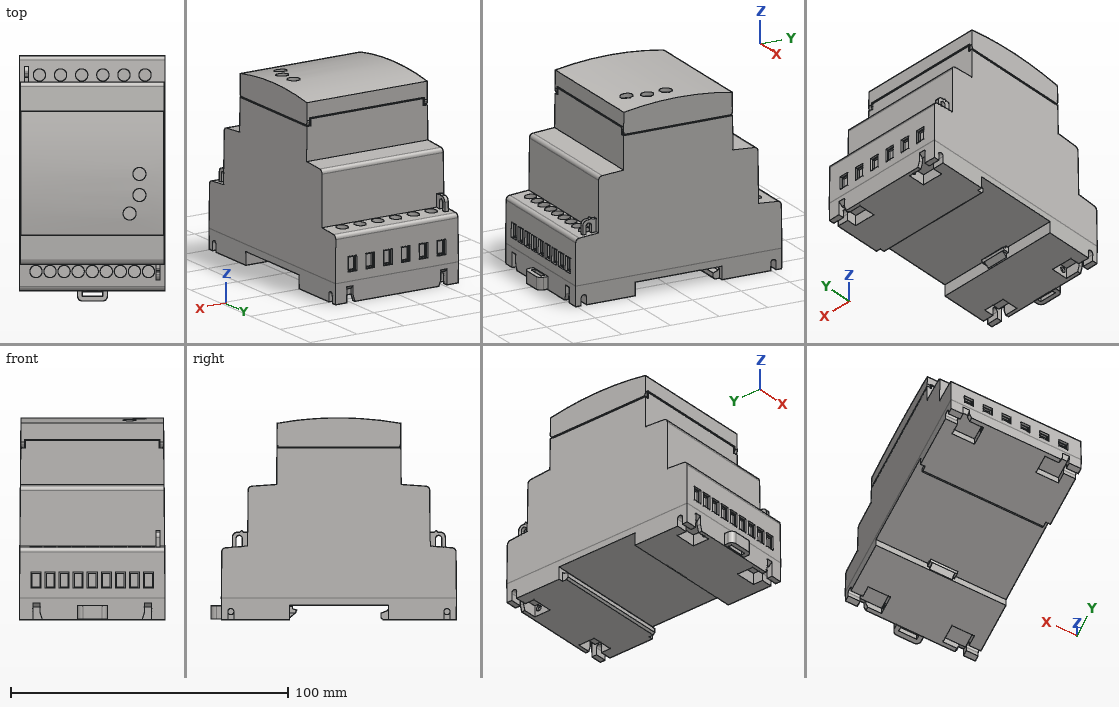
import cadquery as cq
import math

TOTAL_LENGTH = 88.6
HEIGHT = 72.9
WIDTH = 52.6
PARTING_Z = 8.0
DRAFT = math.tan(math.radians(0.5))
OVERSIZE = 8.9
EMBED = 0.9

LOWER_HALF = 42.4
MIDDLE_HALF = 33.0
UPPER_HALF = 22.5
LOWER_SHOULDER_Z = 26.7
MIDDLE_SHOULDER_Z = 48.9
SHOULDER_FALL = 0.7
SHOULDER_ROUND = 1.6
DOME_RISE = 1.95
DOME_EDGE_Z = HEIGHT - DOME_RISE

SEAM = 0.35
SIDE_SEAM_Z = 62.0
END_SEAM_Z = 64.7
SKIRT_INNER_X = 24.45
SKIRT_CORNER = 1.15
SKIRT_CORNER_HEIGHT = 2.1

SCREW_DIAMETER = 4.4
SCREW_DEPTH = 1.95
SCREW_Y = 35.4
FRONT_TERMINALS = 9
FRONT_SPAN = 40.6
FRONT_PITCH = FRONT_SPAN / (FRONT_TERMINALS - 1)
BACK_TERMINALS = 6
BACK_PITCH = 7.6
WINDOW_WIDTH = 3.6
WINDOW_HEIGHT = 5.8
WINDOW_Z = 14.35
WINDOW_MOUTH_DEPTH = 0.9
WINDOW_DEPTH = 1.6
WINDOW_LEDGE = 0.4

LAMP_DIAMETER = 4.7
LAMP_DEPTH = 1.6
LAMP_CENTRES = [(17.0, -0.3), (17.0, -7.9), (13.5, -14.5)]

LOOP_X = 22.95
LOOP_THICKNESS = 1.5
LOOP_OUTER_Y = 38.45
LOOP_TOP_Z = 31.7
LOOP_ROUND = 1.95
LOOP_SLOT_Y = 36.0
LOOP_SLOT_WIDTH = 2.1
LOOP_SLOT_TOP_Z = 30.5
LOOP_NIB_Y = 35.1
LOOP_NIB_HEIGHT = 0.6

RAIL_HALF = 17.8
RAIL_TOP_Z = 5.2
FIXED_HOOK = [(0, 0), (1.9, 0), (2.7, 0.8), (2.7, 2.5), (0.6, 3.3), (0, 3.8)]
SPRUNG_HOOK = [(0, 2.5), (2.1, 2.5), (2.7, 3.5), (1.15, 4.1), (1.15, 4.9), (0, 4.9)]
BRACE = [(0, 0.7), (2.1, 2.5), (0, 2.5)]
HOOK_HALF_WIDTH = 24.4
BRACE_INSET = 0.9
TAB_WIDTH = 10.9
TAB_X = 0.1
TAB_REACH = TOTAL_LENGTH - 2 * LOWER_HALF
TAB_BOTTOM_Z = 0.3
TAB_TOP_Z = 5.1
TAB_ROUND = 1.95
TAB_SLOT_WIDTH = 7.3
TAB_SLOT_LENGTH = 1.5
TAB_SLOT_GAP = 0.35
NOTCH_OUTER_X = 21.4
NOTCH_WIDTH = 2.7
NOTCH_TOP_Z = 6.1
NOTCH_FLARE = 0.8
NOTCH_FLARE_HEIGHT = 2.6
END_WALL = 1.6
POCKET_INNER_X = 12.4
POCKET_INNER_Y = 33.7
POCKET_TOP_Z = 4.7
SIDE_SLOT_WIDTH = 2.2
SIDE_SLOT_Y = 39.0
SIDE_SLOT_CENTRE_Z = 3.0
SIDE_HOLE_X = 11.5


def side_solid(outline, x_from, x_to):
    """Extrude a closed YZ outline between two X positions."""
    return outline.extrude(x_to - x_from).translate((x_from, 0, 0))


def box(x_range, y_range, z_range):
    """Axis-aligned box from its limits."""
    size = [limits[1] - limits[0] for limits in (x_range, y_range, z_range)]
    corner = (x_range[0], y_range[0], z_range[0])
    return cq.Workplane("XY").box(*size, centered=False).translate(corner)


def in_four_corners(solid):
    """The solid together with its mirror images in X and Y."""
    pair = solid.union(solid.mirror("YZ"))
    return pair.union(pair.mirror("XZ"))


def drafted(half, foot_z, z):
    """Half length of a drafted wall at height z."""
    return half - abs(z - foot_z) * DRAFT


def dome_z(y):
    """Height of the domed top at a given Y."""
    half_chord = drafted(UPPER_HALF, MIDDLE_SHOULDER_Z, DOME_EDGE_Z)
    radius = (half_chord ** 2 + DOME_RISE ** 2) / (2 * DOME_RISE)
    return HEIGHT - radius + math.sqrt(radius ** 2 - y ** 2)


def make_body():
    lower_edge_z = LOWER_SHOULDER_Z - SHOULDER_FALL
    middle_edge_z = MIDDLE_SHOULDER_Z - SHOULDER_FALL
    lower_edge_y = drafted(LOWER_HALF, PARTING_Z, lower_edge_z)
    middle_edge_y = drafted(MIDDLE_HALF, LOWER_SHOULDER_Z, middle_edge_z)
    half = [
        (drafted(LOWER_HALF, PARTING_Z, 0), 0),
        (LOWER_HALF, PARTING_Z),
        (lower_edge_y, lower_edge_z),
        (MIDDLE_HALF, LOWER_SHOULDER_Z),
        (middle_edge_y, middle_edge_z),
        (UPPER_HALF, MIDDLE_SHOULDER_Z),
        (drafted(UPPER_HALF, MIDDLE_SHOULDER_Z, DOME_EDGE_Z), DOME_EDGE_Z),
    ]
    mirrored = [(-y, z) for y, z in half]
    profile = (
        cq.Workplane("YZ")
        .polyline(half)
        .threePointArc((0, HEIGHT), mirrored[-1])
        .polyline(mirrored[::-1])
        .close()
    )
    body = profile.extrude(WIDTH / 2, both=True)
    for y, z in ((lower_edge_y, lower_edge_z), (middle_edge_y, middle_edge_z)):
        for end in (-y, y):
            body = body.edges(cq.selectors.NearestToPointSelector((0, end, z))).fillet(SHOULDER_ROUND)

    bottom = drafted(WIDTH / 2, PARTING_Z, 0)
    top = drafted(WIDTH / 2, PARTING_Z, HEIGHT)
    envelope = (
        cq.Workplane("XZ")
        .polyline([(-bottom, 0), (bottom, 0), (WIDTH / 2, PARTING_Z), (top, HEIGHT),
                   (-top, HEIGHT), (-WIDTH / 2, PARTING_Z)])
        .close()
        .extrude(LOWER_HALF, both=True)
    )
    return body.intersect(envelope)


def cut_cover_seam(body):
    side_x = drafted(WIDTH / 2, PARTING_Z, SIDE_SEAM_Z) - SEAM
    end_y = drafted(UPPER_HALF, MIDDLE_SHOULDER_Z, END_SEAM_Z) - SEAM
    far_x = side_x + OVERSIZE
    far_y = end_y + OVERSIZE
    skirt_outer_x = SKIRT_INNER_X - SEAM
    seam_top_z = END_SEAM_Z + SEAM

    side_seam = box((side_x, far_x), (0, far_y), (SIDE_SEAM_Z, SIDE_SEAM_Z + SEAM))
    end_seam = box((0, SKIRT_INNER_X), (end_y, far_y), (END_SEAM_Z, seam_top_z))
    end_leg = box((skirt_outer_x, SKIRT_INNER_X), (end_y, far_y), (SIDE_SEAM_Z, seam_top_z))

    corner_y = end_y + SEAM - SKIRT_CORNER
    corner_top_z = SIDE_SEAM_Z + SKIRT_CORNER_HEIGHT
    bulge = math.sqrt(0.5)
    corner_outline = (
        cq.Workplane("YZ")
        .moveTo(corner_y, SIDE_SEAM_Z)
        .threePointArc(
            (corner_y + SKIRT_CORNER * bulge, corner_top_z - SKIRT_CORNER_HEIGHT * bulge),
            (corner_y + SKIRT_CORNER, corner_top_z),
        )
        .lineTo(far_y, corner_top_z)
        .lineTo(far_y, SIDE_SEAM_Z)
        .close()
    )
    corner = side_solid(corner_outline, SKIRT_INNER_X, far_x)
    return body.cut(in_four_corners(side_seam.union(end_seam).union(end_leg).union(corner)))


def terminal_xs(count, pitch):
    return [(i - (count - 1) / 2) * pitch for i in range(count)]


def cut_terminals(body, count, pitch, end):
    """Screw holes in one lower shoulder and wire windows below; end is -1 (front) or 1 (back)."""
    slope = SHOULDER_FALL / (LOWER_HALF - MIDDLE_HALF)
    screw_surface_z = LOWER_SHOULDER_Z - slope * (SCREW_Y - MIDDLE_HALF)
    screws = (
        cq.Workplane("XY", origin=(0, 0, screw_surface_z - SCREW_DEPTH))
        .pushPoints([(x, end * SCREW_Y) for x in terminal_xs(count, pitch)])
        .circle(SCREW_DIAMETER / 2)
        .extrude(SCREW_DEPTH + SHOULDER_FALL)
    )
    face_y = drafted(LOWER_HALF, PARTING_Z, WINDOW_Z - WINDOW_HEIGHT / 2)
    wall = cq.Plane(origin=(0, -face_y, WINDOW_Z), xDir=(1, 0, 0), normal=(0, 1, 0))
    centres = [(x, 0) for x in terminal_xs(count, pitch)]
    mouths = (
        cq.Workplane(wall)
        .pushPoints(centres)
        .rect(WINDOW_WIDTH, WINDOW_HEIGHT)
        .extrude(WINDOW_MOUTH_DEPTH)
    )
    throats = (
        cq.Workplane(wall)
        .pushPoints(centres)
        .rect(WINDOW_WIDTH - 2 * WINDOW_LEDGE, WINDOW_HEIGHT - 2 * WINDOW_LEDGE)
        .extrude(WINDOW_DEPTH)
    )
    windows = mouths.union(throats)
    if end > 0:
        windows = windows.mirror("XZ")
    return body.cut(screws).cut(windows)


def cut_lamp_recesses(body):
    for x, y in LAMP_CENTRES:
        recess = (
            cq.Workplane("XY", origin=(x, y, dome_z(y) - LAMP_DEPTH))
            .circle(LAMP_DIAMETER / 2)
            .extrude(LAMP_DEPTH + OVERSIZE)
        )
        body = body.cut(recess)
    return body


def make_sealing_loop():
    """Slotted plate standing on the front shoulder near +X."""
    root_y = -MIDDLE_HALF + EMBED
    root_z = LOWER_SHOULDER_Z - SHOULDER_FALL - EMBED
    plate = box((LOOP_X, LOOP_X + LOOP_THICKNESS), (-LOOP_OUTER_Y, root_y), (root_z, LOOP_TOP_Z))
    plate = plate.edges("|X and >Z and <Y").fillet(LOOP_ROUND)
    nib_outline = (
        cq.Workplane("YZ")
        .polyline([(-LOOP_NIB_Y - LOOP_NIB_HEIGHT, LOOP_TOP_Z), (-LOOP_NIB_Y, LOOP_TOP_Z + LOOP_NIB_HEIGHT),
                   (-LOOP_NIB_Y + LOOP_NIB_HEIGHT, LOOP_TOP_Z)])
        .close()
    )
    plate = plate.union(side_solid(nib_outline, LOOP_X, LOOP_X + LOOP_THICKNESS))
    slot_radius = LOOP_SLOT_WIDTH / 2
    slot_outline = (
        cq.Workplane("YZ")
        .moveTo(-LOOP_SLOT_Y - slot_radius, root_z)
        .lineTo(-LOOP_SLOT_Y - slot_radius, LOOP_SLOT_TOP_Z - slot_radius)
        .threePointArc(
            (-LOOP_SLOT_Y, LOOP_SLOT_TOP_Z),
            (-LOOP_SLOT_Y + slot_radius, LOOP_SLOT_TOP_Z - slot_radius),
        )
        .lineTo(-LOOP_SLOT_Y + slot_radius, root_z)
        .close()
    )
    return plate.cut(side_solid(slot_outline, LOOP_X, LOOP_X + LOOP_THICKNESS))


def make_hook(outline, end, half_width):
    """Hook reaching into the rail channel from its wall on the given end, -1 (front) or 1 (back)."""
    root_y = RAIL_HALF + EMBED
    points = [(RAIL_HALF - reach, z) for reach, z in outline]
    points = [(root_y, outline[0][1])] + points + [(root_y, outline[-1][1])]
    profile = cq.Workplane("YZ").polyline([(end * y, z) for y, z in points]).close()
    return side_solid(profile, -half_width, half_width)


def make_release_tab():
    """Slotted pull tab below the front wall."""
    root_y = -LOWER_HALF + EMBED
    tip_y = -LOWER_HALF - TAB_REACH
    tab = box((-TAB_WIDTH / 2, TAB_WIDTH / 2), (tip_y, root_y), (TAB_BOTTOM_Z, TAB_TOP_Z))
    tab = tab.edges("|Z and <Y").fillet(TAB_ROUND)
    slot_y = -LOWER_HALF - TAB_SLOT_GAP
    slot = box(
        (-TAB_SLOT_WIDTH / 2, TAB_SLOT_WIDTH / 2),
        (slot_y - TAB_SLOT_LENGTH, slot_y),
        (TAB_BOTTOM_Z, TAB_TOP_Z),
    )
    return tab.cut(slot).translate((TAB_X, 0, 0))


def cut_rail_channel(body):
    return body.cut(box((-WIDTH, WIDTH), (-RAIL_HALF, RAIL_HALF), (0, RAIL_TOP_Z)))


def cut_corner_openings(body):
    """In each base corner: an end notch and a side slot opening into a pocket open at the bottom."""
    notch_inner_x = NOTCH_OUTER_X - NOTCH_WIDTH
    far_y = LOWER_HALF + OVERSIZE
    wall_y = LOWER_HALF - END_WALL
    notch = (
        cq.Workplane("XZ", origin=(0, far_y, 0))
        .moveTo(NOTCH_OUTER_X, 0)
        .lineTo(NOTCH_OUTER_X, NOTCH_TOP_Z)
        .lineTo(notch_inner_x, NOTCH_TOP_Z)
        .lineTo(notch_inner_x, NOTCH_FLARE_HEIGHT)
        .lineTo(notch_inner_x - NOTCH_FLARE, 0)
        .close()
        .extrude(far_y - wall_y)
    )
    roof_slope = (NOTCH_TOP_Z - POCKET_TOP_Z) / END_WALL
    roof_outer_z = NOTCH_TOP_Z + roof_slope * OVERSIZE
    roof_outline = (
        cq.Workplane("YZ")
        .polyline([(wall_y, 0), (wall_y, POCKET_TOP_Z), (far_y, roof_outer_z), (far_y, 0)])
        .close()
    )
    notch = notch.intersect(side_solid(roof_outline, 0, WIDTH))
    pocket = box((POCKET_INNER_X, NOTCH_OUTER_X), (POCKET_INNER_Y, wall_y), (0, POCKET_TOP_Z))

    hole_outline = (
        cq.Workplane("YZ").center(SIDE_SLOT_Y, SIDE_SLOT_CENTRE_Z).circle(SIDE_SLOT_WIDTH / 2)
    )
    hole = side_solid(hole_outline, SIDE_HOLE_X, WIDTH)
    slot_sides = (SIDE_SLOT_Y - SIDE_SLOT_WIDTH / 2, SIDE_SLOT_Y + SIDE_SLOT_WIDTH / 2)
    slot = box((NOTCH_OUTER_X, WIDTH), slot_sides, (0, SIDE_SLOT_CENTRE_Z))
    return body.cut(in_four_corners(notch.union(pocket).union(hole).union(slot)))


body = make_body()
body = cut_cover_seam(body)
body = cut_terminals(body, FRONT_TERMINALS, FRONT_PITCH, end=-1)
body = cut_terminals(body, BACK_TERMINALS, BACK_PITCH, end=1)
body = cut_lamp_recesses(body)
body = cut_rail_channel(body)
body = cut_corner_openings(body)

front_loop = make_sealing_loop()
back_loop = front_loop.rotate((0, 0, 0), (0, 0, 1), 180)
body = body.union(front_loop).union(back_loop)
body = body.union(make_hook(FIXED_HOOK, 1, HOOK_HALF_WIDTH))
body = body.union(make_hook(SPRUNG_HOOK, -1, TAB_WIDTH / 2))
body = body.union(make_hook(BRACE, -1, TAB_WIDTH / 2 - BRACE_INSET))
result = body.union(make_release_tab())